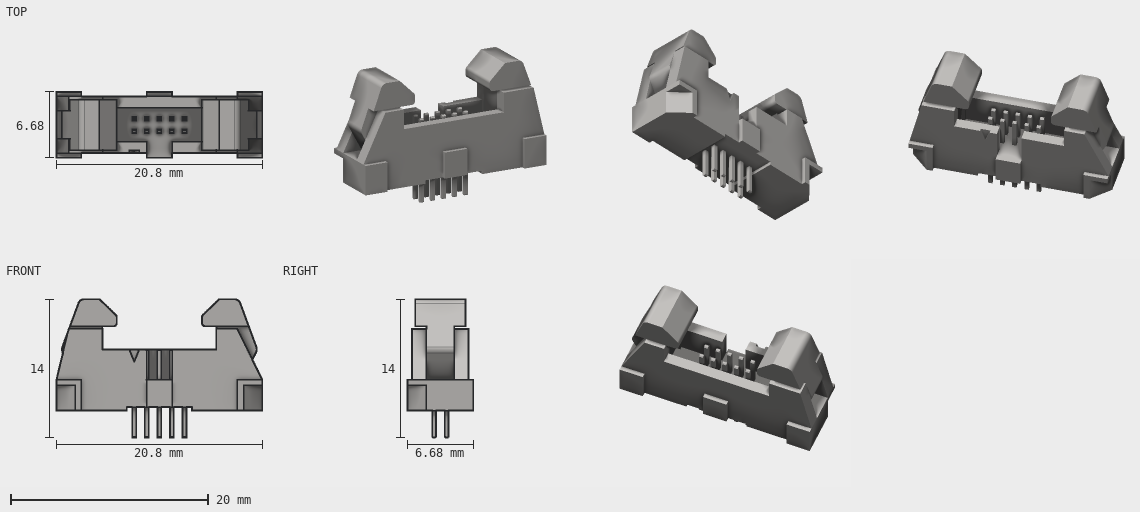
import cadquery as cq


HALF_LENGTH = 20.83 / 2
FULL_WIDTH = 6.68
WALL_WIDTH = 5.74
FLOOR_Z = 3.137
SHROUD_TOP_Z = 6.195
TOWER_TOP_Z = 8.28
TOWER_INNER_X = 5.75
LEFT_TOWER_TOP_X = -9.18
RIGHT_TOWER_TOP_X = 7.88

CAVITY_WIDTH = 3.45
LATCH_SLOT_WIDTH = 2.83
KEY_WIDTH = 2.57
RELIEF_LENGTH = 6.58
RELIEF_HEIGHT = 0.36

FLANGE_LENGTH = 2.53
CHAMFER_SIZE = 1.9
CHAMFER_HEIGHT = 2.57

MARK_WIDTH = 1.0
MARK_HEIGHT = 1.25
MARK_DEPTH = 0.32

PIN_PITCH = 1.27
PIN_COLUMNS = 5
PIN_ROWS = 2
PIN_SIZE = 0.42
PIN_TOP_Z = SHROUD_TOP_Z
PIN_BOTTOM_Z = -2.73
PIN_TIP_HEIGHT = 0.1
PIN_TIP_INSET = 0.12

LATCH_TOP_Z = 11.29
HEAD_BOTTOM_Z = 8.516
HEAD_WIDTH = 5.11
NOSE_X = 4.29
NOSE_TOP_Z = 9.58
NOSE_RADIUS = 0.4
HEAD_RAMP_TOP_X = 6.06
HEAD_OUTER_TOP_X = 8.04
HEAD_OUTER_BOTTOM_X = 9.06
OUTER_SLOPE = (HEAD_OUTER_BOTTOM_X - HEAD_OUTER_TOP_X) / (LATCH_TOP_Z - HEAD_BOTTOM_Z)
HEAD_RADIUS = 0.65
ELBOW_Z = 6.14
ELBOW_X = HEAD_OUTER_BOTTOM_X + OUTER_SLOPE * (HEAD_BOTTOM_Z - ELBOW_Z)
ELBOW_RADIUS = 0.76
STEM_OUTER_FOOT_X = 8.28
STEM_INNER_FOOT_X = 6.2


def box(x_min, x_max, y_min, y_max, z_min, z_max):
    """Axis-aligned block between the given limits."""
    size = (x_max - x_min, y_max - y_min, z_max - z_min)
    return cq.Workplane("XY").box(*size, centered=False).translate((x_min, y_min, z_min))


def centred_box(length, width, z_min, z_max):
    """Block centred on the Z axis."""
    return box(-length / 2, length / 2, -width / 2, width / 2, z_min, z_max)


def side_profile(points, width):
    """Prism with an XZ outline, centred on Y."""
    return cq.Workplane("XZ").polyline(points).close().extrude(width / 2, both=True)


def make_walls():
    """Main housing block with a raised, sloping tower at each end."""
    outline = [
        (-HALF_LENGTH, 0),
        (HALF_LENGTH, 0),
        (HALF_LENGTH, FLOOR_Z),
        (RIGHT_TOWER_TOP_X, TOWER_TOP_Z),
        (TOWER_INNER_X, TOWER_TOP_Z),
        (TOWER_INNER_X, SHROUD_TOP_Z),
        (-TOWER_INNER_X, SHROUD_TOP_Z),
        (-TOWER_INNER_X, TOWER_TOP_Z),
        (LEFT_TOWER_TOP_X, TOWER_TOP_Z),
        (-HALF_LENGTH, FLOOR_Z),
    ]
    return side_profile(outline, WALL_WIDTH)


def make_flanges():
    """Full-width low blocks at both ends and at the middle."""
    end = box(HALF_LENGTH - FLANGE_LENGTH, HALF_LENGTH, -FULL_WIDTH / 2, FULL_WIDTH / 2, 0, FLOOR_Z)
    middle = centred_box(KEY_WIDTH, FULL_WIDTH, 0, FLOOR_Z)
    return middle.union(end).union(end.mirror("YZ"))


def make_openings():
    """Pin cavity, latch slots, front key slot and underside relief."""
    cavity = centred_box(2 * TOWER_INNER_X, CAVITY_WIDTH, FLOOR_Z, TOWER_TOP_Z)
    latch_slots = centred_box(2 * HALF_LENGTH, LATCH_SLOT_WIDTH, FLOOR_Z, TOWER_TOP_Z)
    key_slot = box(-KEY_WIDTH / 2, KEY_WIDTH / 2, -WALL_WIDTH / 2, 0, FLOOR_Z, SHROUD_TOP_Z)
    relief = centred_box(RELIEF_LENGTH, FULL_WIDTH, 0, RELIEF_HEIGHT)
    return cavity.union(latch_slots).union(key_slot).union(relief)


def make_corner_chamfers():
    """Cutters that bevel the lower part of both front corners."""
    front_y = -FULL_WIDTH / 2
    corner = [
        (HALF_LENGTH, front_y),
        (HALF_LENGTH - CHAMFER_SIZE, front_y),
        (HALF_LENGTH, front_y + CHAMFER_SIZE),
    ]
    cutter = cq.Workplane("XY").polyline(corner).close().extrude(CHAMFER_HEIGHT)
    return cutter.union(cutter.mirror("YZ"))


def make_pin_one_mark():
    """Triangular recess in the front wall above the first pin column."""
    mark_x = -PIN_PITCH * (PIN_COLUMNS - 1) / 2
    triangle = [
        (mark_x - MARK_WIDTH / 2, SHROUD_TOP_Z),
        (mark_x + MARK_WIDTH / 2, SHROUD_TOP_Z),
        (mark_x, SHROUD_TOP_Z - MARK_HEIGHT),
    ]
    front_plane = cq.Workplane("XZ", origin=(0, -WALL_WIDTH / 2, 0))
    return front_plane.polyline(triangle).close().extrude(-MARK_DEPTH)


def make_pin():
    """Square pin whose ends taper on the front and back faces."""
    half = PIN_SIZE / 2
    tip = half - PIN_TIP_INSET
    outline = [
        (-tip, PIN_BOTTOM_Z),
        (tip, PIN_BOTTOM_Z),
        (half, PIN_BOTTOM_Z + PIN_TIP_HEIGHT),
        (half, PIN_TOP_Z - PIN_TIP_HEIGHT),
        (tip, PIN_TOP_Z),
        (-tip, PIN_TOP_Z),
        (-half, PIN_TOP_Z - PIN_TIP_HEIGHT),
        (-half, PIN_BOTTOM_Z + PIN_TIP_HEIGHT),
    ]
    return cq.Workplane("YZ").polyline(outline).close().extrude(half, both=True)


def round_edge(body, x, z, radius):
    """Fillet the Y-parallel edge of a body nearest to the given X and Z."""
    nearest = cq.selectors.NearestToPointSelector((x, 0, z))
    return body.edges("|Y").edges(nearest).fillet(radius)


def make_latch():
    """Latch on the +X side: wide hooked head on a narrow stem in the tower slot."""
    head_outline = [
        (NOSE_X, HEAD_BOTTOM_Z),
        (HEAD_OUTER_BOTTOM_X, HEAD_BOTTOM_Z),
        (HEAD_OUTER_TOP_X, LATCH_TOP_Z),
        (HEAD_RAMP_TOP_X, LATCH_TOP_Z),
        (NOSE_X, NOSE_TOP_Z),
    ]
    head = side_profile(head_outline, HEAD_WIDTH)
    head = round_edge(head, NOSE_X, HEAD_BOTTOM_Z, NOSE_RADIUS)
    head = round_edge(head, NOSE_X, NOSE_TOP_Z, NOSE_RADIUS)
    head = round_edge(head, HEAD_OUTER_TOP_X, LATCH_TOP_Z, HEAD_RADIUS)

    stem_outline = [
        (TOWER_INNER_X, HEAD_BOTTOM_Z),
        (HEAD_OUTER_BOTTOM_X, HEAD_BOTTOM_Z),
        (ELBOW_X, ELBOW_Z),
        (STEM_OUTER_FOOT_X, FLOOR_Z),
        (STEM_INNER_FOOT_X, FLOOR_Z),
    ]
    stem = side_profile(stem_outline, LATCH_SLOT_WIDTH)
    stem = round_edge(stem, ELBOW_X, ELBOW_Z, ELBOW_RADIUS)
    return head.union(stem)


housing = make_walls().union(make_flanges())
housing = housing.cut(make_openings()).cut(make_corner_chamfers()).cut(make_pin_one_mark())

pin = make_pin()
for column in range(PIN_COLUMNS):
    for row in range(PIN_ROWS):
        pin_x = PIN_PITCH * (column - (PIN_COLUMNS - 1) / 2)
        pin_y = PIN_PITCH * (row - (PIN_ROWS - 1) / 2)
        housing = housing.union(pin.translate((pin_x, pin_y, 0)))

latch = make_latch()
result = housing.union(latch).union(latch.mirror("YZ"))